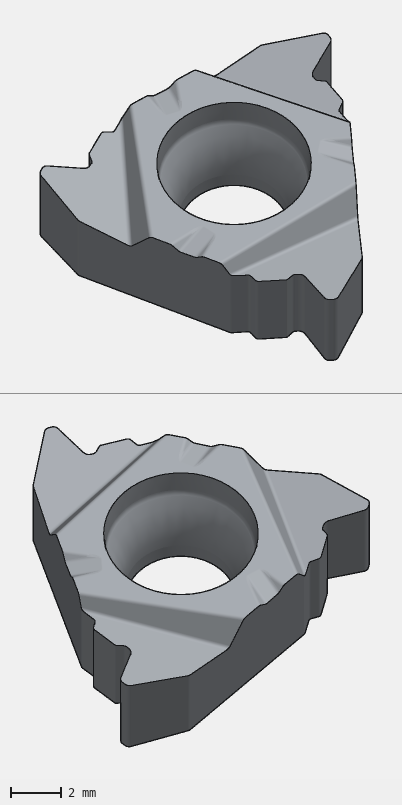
import cadquery as cq
import math

TEETH = 3
TOOTH_PITCH = 360 / TEETH
HEIGHT = 4.27

SIDE_DISTANCE = 4.76
SHOULDER_Y = 4.58
TIP_Y = 6.88
FLANK_ANGLE = 27.4
TIP_WIDTH = 0.43
VALLEY_Y = 5.31
VALLEY_END_X = -1.96
LAND_Y = 5.6
LAND_END_X = -0.47
STEP_Y = 5.2
STEP_START_X = -0.21

SHOULDER_RADIUS = 0.2
TIP_RADIUS = 0.24
VALLEY_RADIUS = 0.31
LAND_RADIUS = 0.16
LAND_START_RADIUS = 0.1
STEP_RADIUS = 0.13

GROOVE_START = cq.Vector(4.24, -3.23, HEIGHT - 0.56)
GROOVE_END = cq.Vector(4.36, 3.03, HEIGHT - 1.13)
GROOVE_OVERRUN = 2.68
GROOVE_REACH = 5.37
GROOVE_CLEARANCE = 2.68
RAKE_ANGLE = 8.4
WALL_ANGLE = 56.0
GROOVE_RADIUS = 0.2
WALL_EDGE_MIN_LENGTH = 5.37

NOTCH_INNER_END = cq.Vector(-3.45, -0.56, HEIGHT)
NOTCH_TURN = 13.7
NOTCH_SLOPE = 10.5
NOTCH_FLOOR_WIDTH = 0.7
NOTCH_FLANK_ANGLE = 37.0
NOTCH_RADIUS = 0.27
NOTCH_RIM_RADIUS = 0.24
NOTCH_RIM_MIN_LENGTH = 0.8
NOTCH_CLEARANCE = 0.54
NOTCH_LENGTH = 2.15

BORE_RADIUS = 4.4 / 2
RIM_RADIUS = 3.07
SEAT_RADIUS = 2.99
SEAT_DEPTH = 1.0
BOWL_TOP_RADIUS = 2.9
BOWL_TOP_DEPTH = 1.26
BOWL_BOTTOM_DEPTH = 3.58


def turned(x, y, index):
    """Turn a point by one tooth pitch, index times, around the hole axis."""
    angle = index * math.radians(TOOTH_PITCH)
    return (x * math.cos(angle) - y * math.sin(angle), x * math.sin(angle) + y * math.cos(angle))


def tooth_corners():
    """Corners of one tooth as (x, y, rounding radius)."""
    slope = math.tan(math.radians(FLANK_ANGLE))
    tip_start_x = -SIDE_DISTANCE + (TIP_Y - SHOULDER_Y) * slope
    tip_end_x = tip_start_x + TIP_WIDTH
    valley_start_x = tip_end_x + (TIP_Y - VALLEY_Y) * slope
    land_start_x = VALLEY_END_X + (LAND_Y - VALLEY_Y)
    normal = math.radians(TOOTH_PITCH / 2)
    step_end_x = (SIDE_DISTANCE - STEP_Y * math.sin(normal)) / math.cos(normal)
    return [
        (-SIDE_DISTANCE, SHOULDER_Y, SHOULDER_RADIUS),
        (tip_start_x, TIP_Y, TIP_RADIUS),
        (tip_end_x, TIP_Y, TIP_RADIUS),
        (valley_start_x, VALLEY_Y, VALLEY_RADIUS),
        (VALLEY_END_X, VALLEY_Y, LAND_RADIUS),
        (land_start_x, LAND_Y, LAND_START_RADIUS),
        (LAND_END_X, LAND_Y, LAND_RADIUS),
        (STEP_START_X, STEP_Y, STEP_RADIUS),
        (step_end_x, STEP_Y, SHOULDER_RADIUS),
    ]


def blank():
    """Upright prism with three rounded teeth."""
    corners = []
    for index in range(TEETH):
        for x, y, radius in tooth_corners():
            corners.append((*turned(x, y, -index), radius))
    body = cq.Workplane("XY").polyline([corner[:2] for corner in corners]).close().extrude(HEIGHT)
    for x, y, radius in corners:
        nearest = cq.NearestToPointSelector((x, y, HEIGHT / 2))
        body = body.edges("|Z").edges(nearest).fillet(radius)
    return body


def groove_cutter():
    """Wedge above the right tooth's face and outside its groove wall."""
    along = (GROOVE_END - GROOVE_START).normalized()
    across = along.cross(cq.Vector(0, 0, 1)).normalized()
    far_end = GROOVE_END + along * GROOVE_OVERRUN
    plane = cq.Plane(origin=far_end, xDir=across, normal=along * -1)
    length = (GROOVE_END - GROOVE_START).Length + 2 * GROOVE_OVERRUN
    wall_run = GROOVE_CLEARANCE / math.tan(math.radians(WALL_ANGLE))
    profile = [
        (0, 0),
        (GROOVE_REACH, GROOVE_REACH * math.tan(math.radians(RAKE_ANGLE))),
        (GROOVE_REACH, GROOVE_CLEARANCE),
        (-wall_run, GROOVE_CLEARANCE),
    ]
    wedge = cq.Workplane(plane).polyline(profile).close().extrude(length)
    bottom_line = cq.NearestToPointSelector(((GROOVE_START + GROOVE_END) * 0.5).toTuple())
    return wedge.edges(bottom_line).fillet(GROOVE_RADIUS)


def notch_cutter():
    """Trapezoid swept outward and down from the notch's inner end."""
    heading = math.radians(180 - NOTCH_TURN)
    slope = math.radians(NOTCH_SLOPE)
    outward = cq.Vector(
        math.cos(heading) * math.cos(slope), math.sin(heading) * math.cos(slope), -math.sin(slope)
    )
    across = cq.Vector(-math.sin(heading), math.cos(heading), 0)
    plane = cq.Plane(origin=NOTCH_INNER_END, xDir=across, normal=outward)
    half_floor = NOTCH_FLOOR_WIDTH / 2
    half_top = half_floor + NOTCH_CLEARANCE / math.tan(math.radians(NOTCH_FLANK_ANGLE))
    profile = [
        (-half_floor, 0),
        (half_floor, 0),
        (half_top, NOTCH_CLEARANCE),
        (-half_top, NOTCH_CLEARANCE),
    ]
    cutter = cq.Workplane(plane).polyline(profile).close().extrude(NOTCH_LENGTH)
    middle = NOTCH_INNER_END + outward * (NOTCH_LENGTH / 2)
    for side in (-half_floor, half_floor):
        floor_edge = cq.NearestToPointSelector((middle + across * side).toTuple())
        cutter = cutter.edges(floor_edge).fillet(NOTCH_RADIUS)
    return cutter


def hole_cutter():
    """Revolved clamping hole."""
    bowl_bottom = HEIGHT - BOWL_BOTTOM_DEPTH
    bowl_height = BOWL_BOTTOM_DEPTH - BOWL_TOP_DEPTH
    bowl_step = BOWL_TOP_RADIUS - BORE_RADIUS
    bowl_radius = (bowl_step**2 + bowl_height**2) / (2 * bowl_step)
    return (
        cq.Workplane("XZ")
        .moveTo(0, HEIGHT)
        .lineTo(RIM_RADIUS, HEIGHT)
        .lineTo(SEAT_RADIUS, HEIGHT - SEAT_DEPTH)
        .tangentArcPoint((BOWL_TOP_RADIUS, HEIGHT - BOWL_TOP_DEPTH), relative=False)
        .radiusArc((BORE_RADIUS, bowl_bottom), -bowl_radius)
        .lineTo(BORE_RADIUS, 0)
        .lineTo(0, 0)
        .close()
        .revolve(360, (0, 0, 0), (0, 1, 0))
    )


def cut_around(body, cutter):
    """Cut the same shape at every tooth pitch."""
    for index in range(TEETH):
        body = body.cut(cutter.rotate((0, 0, 0), (0, 0, 1), index * TOOTH_PITCH))
    return body


def round_top_edges(body, shortest, longest, radius):
    """Round the top-face edges whose length lies between two limits."""
    edges = body.faces(">Z").edges().filter(lambda edge: shortest < edge.Length() < longest)
    return edges.fillet(radius)


result = cut_around(blank(), groove_cutter())
result = round_top_edges(result, WALL_EDGE_MIN_LENGTH, math.inf, GROOVE_RADIUS)
result = cut_around(result, notch_cutter())
result = round_top_edges(result, NOTCH_RIM_MIN_LENGTH, WALL_EDGE_MIN_LENGTH, NOTCH_RIM_RADIUS)
result = result.cut(hole_cutter())